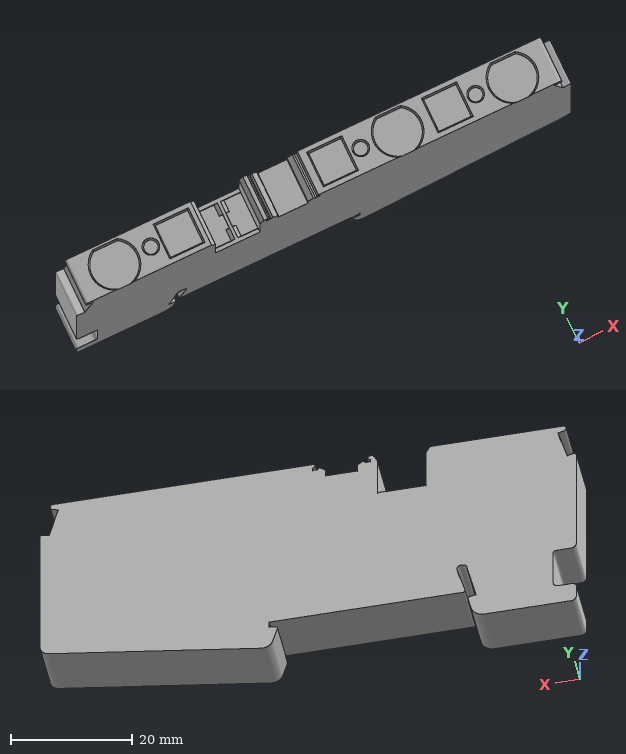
import cadquery as cq
import math

length = 90.5
thickness = 8.1
height = 42.1
mid_y = thickness / 2

lip_inset = 1.7
notch_floor_inset = 1.5
lip_bottom_z = 41.0
notch_depth = 3.1
notch_top_z = 40.5
notch_floor_z = 34.8
end_top_z = 35.2

body_bottom_z = 12.6
foot_back_x = 3.9
foot_top_z = 4.1
latch_bottom_x = 15.75
latch_mid = (17.1, 0.7)
latch_edge = (17.8, 2.3)
latch_nose = (18.4, 4.6)
latch_ledge = (16.9, 5.0)

relief_left_top = (18.5, 11.8)
relief_apex = (19.4, 12.6)
relief_right_top = (20.1, 11.5)
relief_bottom_x = 18.6

rail_z = 6.0
rail_end_x = 51.9
hook_ledge_z = 4.9
hook_nose = (50.3, 4.5)
hook_edge = (51.2, 1.4)
hook_mid = (51.8, 0.45)
hook_bottom = (52.9, 0.0)
slope_end_z = 6.8

nose_radius = 0.4
ledge_radius = 0.3
lip_radius = 0.5
foot_radius = 0.9
heel_radius = 1.8

slot_left_x = 25.4
slot_right_x = 33.6
slot_floor_z = 32.9
shoulder_width = 0.7
shoulder_z = 40.7

marker_x = 39.6
marker_floor_z = 38.9
marker_half_width = 2.7
marker_step_z = 40.4
barb_offset, barb_z = 3.7, 41.1
groove_inner_offset, groove_floor_z = 4.1, 40.6
groove_outer_offset, groove_top_z = 4.9, 41.1
bead_offset, bead_z = 4.3, 41.5
mouth_offset = 4.6

terminals = [(8.9, 1), (60.6, -1), (81.6, -1)]
recess_depth = 0.5
recess_taper = 25.0
screw_radius = 4.3
screw_y = 4.0
screw_wall = 0.45
square_offset = 11.9
square_side = 6.4
test_offset = 6.7
test_radius = 1.45

pocket_depth = 0.45
pocket_wall = 0.7
rib_x = 29.6
rib_thickness = 0.5
gusset_width = 0.6
gusset_length = 2.1


def marker_profile(side):
    """Corner points of one half of the marker channel, from the floor up to the top face."""
    offsets = [
        (marker_half_width, marker_floor_z),
        (marker_half_width, marker_step_z),
        (barb_offset, barb_z),
        (groove_inner_offset, groove_floor_z),
        (groove_outer_offset, groove_floor_z),
        (groove_outer_offset, groove_top_z),
        (bead_offset, bead_z),
        (mouth_offset, height),
    ]
    return [(marker_x + side * offset, z) for offset, z in offsets]


def notch_profile():
    """Corner points of the left end notch, from the top lip down to the end face."""
    return [
        (lip_inset, height),
        (lip_inset, lip_bottom_z),
        (notch_depth, notch_top_z),
        (notch_floor_inset, notch_floor_z),
        (0, end_top_z),
    ]


def at_right_end(points):
    """Mirror left end points to the right end, in reversed order."""
    return [(length - x, z) for x, z in reversed(points)]


def fillet_at(body, points, radius):
    """Round the Y-direction edges that pass through the given profile points."""
    tolerance = 0.045
    for x, z in points:
        near_point = cq.selectors.BoxSelector(
            (x - tolerance, 0, z - tolerance),
            (x + tolerance, thickness, z + tolerance),
        )
        body = body.edges(near_point).edges("|Y").fillet(radius)
    return body


def housing():
    """Side outline extruded through the full thickness, with its corners rounded."""
    outline = (
        cq.Workplane("XZ")
        .moveTo(0, 0)
        .lineTo(latch_bottom_x, 0)
        .threePointArc(latch_mid, latch_edge)
        .lineTo(*latch_nose)
        .lineTo(*latch_ledge)
        .lineTo(*relief_left_top)
        .threePointArc(relief_apex, relief_right_top)
        .lineTo(relief_bottom_x, rail_z)
        .lineTo(rail_end_x, rail_z)
        .lineTo(rail_end_x, hook_ledge_z)
        .lineTo(*hook_nose)
        .lineTo(*hook_edge)
        .threePointArc(hook_mid, hook_bottom)
        .lineTo(length, slope_end_z)
    )
    top_run = (
        at_right_end(notch_profile())
        + marker_profile(1)[::-1]
        + marker_profile(-1)
        + [
            (slot_right_x + shoulder_width, height),
            (slot_right_x, shoulder_z),
            (slot_right_x, slot_floor_z),
            (slot_left_x, slot_floor_z),
            (slot_left_x, shoulder_z),
            (slot_left_x - shoulder_width, height),
        ]
        + notch_profile()
        + [
            (0, body_bottom_z),
            (foot_back_x, body_bottom_z),
            (foot_back_x, foot_top_z),
            (0, foot_top_z),
        ]
    )
    for point in top_run:
        outline = outline.lineTo(*point)
    body = outline.close().extrude(-thickness)

    lip_corners = [(x, z) for x in (lip_inset, length - lip_inset) for z in (height, lip_bottom_z)]
    body = fillet_at(body, lip_corners + [(0, foot_top_z), (foot_back_x, body_bottom_z)], lip_radius)
    body = fillet_at(body, [(0, body_bottom_z), (foot_back_x, foot_top_z), (0, 0)], foot_radius)
    body = fillet_at(body, [(relief_bottom_x, rail_z), latch_nose, hook_nose], nose_radius)
    body = fillet_at(body, [(0, end_top_z), (length, end_top_z)], ledge_radius)
    return fillet_at(body, [(length, slope_end_z)], heel_radius)


def recess(sketch, x):
    """Shallow recess with inward sloping sides, sunk into the top face at (x, mid_y)."""
    return (
        cq.Workplane("XY", origin=(x, mid_y, height))
        .placeSketch(sketch)
        .extrude(-recess_depth, taper=recess_taper)
    )


def screw_recess(x):
    """Conical recess trimmed by a sloping back wall and open through the front face."""
    slope_run = recess_depth * math.tan(math.radians(recess_taper))
    cone = (
        cq.Workplane("XY", origin=(x, screw_y, height))
        .circle(screw_radius)
        .extrude(-recess_depth, taper=recess_taper)
    )
    back_y = thickness - screw_wall
    trim = (
        cq.Workplane("YZ", origin=(x - screw_radius, 0, 0))
        .polyline([
            (-thickness, height),
            (back_y, height),
            (back_y - slope_run, height - recess_depth),
            (-thickness, height - recess_depth),
        ])
        .close()
        .extrude(2 * screw_radius)
    )
    return cone.intersect(trim)


def slot_floor_pocket(side):
    """Pocket between the rib and one slot wall, with two sloped gussets against the rib."""
    rib_face = rib_x + side * rib_thickness / 2
    wall_x = slot_right_x if side > 0 else slot_left_x
    floor_z = slot_floor_z - pocket_depth
    width = thickness - 2 * pocket_wall
    pocket = (
        cq.Workplane("XY", origin=((wall_x + rib_face) / 2, mid_y, floor_z))
        .rect(abs(wall_x - rib_face), width)
        .extrude(pocket_depth)
    )
    for start_y in (pocket_wall, thickness - pocket_wall - gusset_length):
        gusset = (
            cq.Workplane("XZ", origin=(0, start_y, 0))
            .polyline([
                (rib_face, slot_floor_z),
                (rib_face, floor_z),
                (rib_face + side * gusset_width, floor_z),
            ])
            .close()
            .extrude(-gusset_length)
        )
        pocket = pocket.cut(gusset)
    return pocket


result = housing()
square = cq.Sketch().rect(square_side, square_side)
test_point = cq.Sketch().circle(test_radius)
for screw_x, direction in terminals:
    result = result.cut(screw_recess(screw_x))
    result = result.cut(recess(square, screw_x + direction * square_offset))
    result = result.cut(recess(test_point, screw_x + direction * test_offset))
for side in (-1, 1):
    result = result.cut(slot_floor_pocket(side))